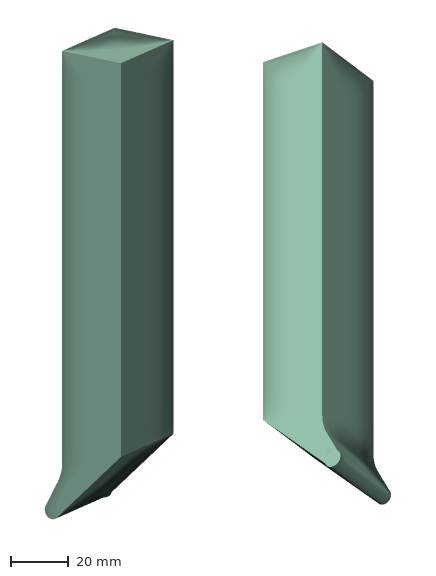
import cadquery as cq
import math

total_height = 171.4
total_width = 32.4
shank_width = 24.7
shank_depth = 31.9
shank_left = total_width - shank_width

insert_radius = 3.3
insert_thickness = 2.5
insert_overhang = 0.2
insert_relief_angle = 7.0
insert_back_radius = insert_radius - insert_thickness * math.tan(math.radians(insert_relief_angle))

nose_radius = 2.9
nose_x = insert_radius
nose_z = insert_radius
neck_corner_z = 18.0
neck_fillet_radius = 16.3
underside_angle = 45.0


def nose_point(angle):
    """Point on the nose arc at an angle in degrees from +X towards +Z."""
    turn = math.radians(angle)
    return (nose_x + nose_radius * math.cos(turn), nose_z + nose_radius * math.sin(turn))


def neck_tangent_angle():
    """Angle on the nose where the line from the neck corner is tangent to it."""
    run = shank_left - nose_x
    rise = neck_corner_z - nose_z
    corner_direction = math.atan2(rise, run)
    tangent_offset = math.acos(nose_radius / math.hypot(run, rise))
    return math.degrees(corner_direction + tangent_offset)


def make_insert():
    """Tapered disc with its larger face standing slightly proud of the +Y side of the holder."""
    return (
        cq.Workplane("XZ", origin=(nose_x, shank_depth + insert_overhang, nose_z))
        .circle(insert_radius)
        .workplane(offset=insert_thickness)
        .circle(insert_back_radius)
        .loft()
    )


def make_holder(insert):
    """Rectangular shank, angled neck and rounded nose, with a seat for the insert."""
    neck_angle = neck_tangent_angle()
    underside_tangent_angle = underside_angle - 90.0
    nose_middle_angle = (neck_angle + underside_tangent_angle + 360.0) / 2
    underside_start = nose_point(underside_tangent_angle)
    underside_run = total_width - underside_start[0]
    underside_top_z = underside_start[1] + underside_run * math.tan(math.radians(underside_angle))

    body = (
        cq.Workplane("XZ")
        .moveTo(shank_left, total_height)
        .lineTo(shank_left, neck_corner_z)
        .lineTo(*nose_point(neck_angle))
        .threePointArc(nose_point(nose_middle_angle), underside_start)
        .lineTo(total_width, underside_top_z)
        .lineTo(total_width, total_height)
        .close()
        .extrude(-shank_depth)
    )
    neck_corner = cq.selectors.NearestToPointSelector((shank_left, shank_depth / 2, neck_corner_z))
    body = body.edges(neck_corner).fillet(neck_fillet_radius)
    return body.cut(insert).solids()


insert = make_insert()
holder = make_holder(insert)

result = cq.Compound.makeCompound([holder.val(), insert.val()])